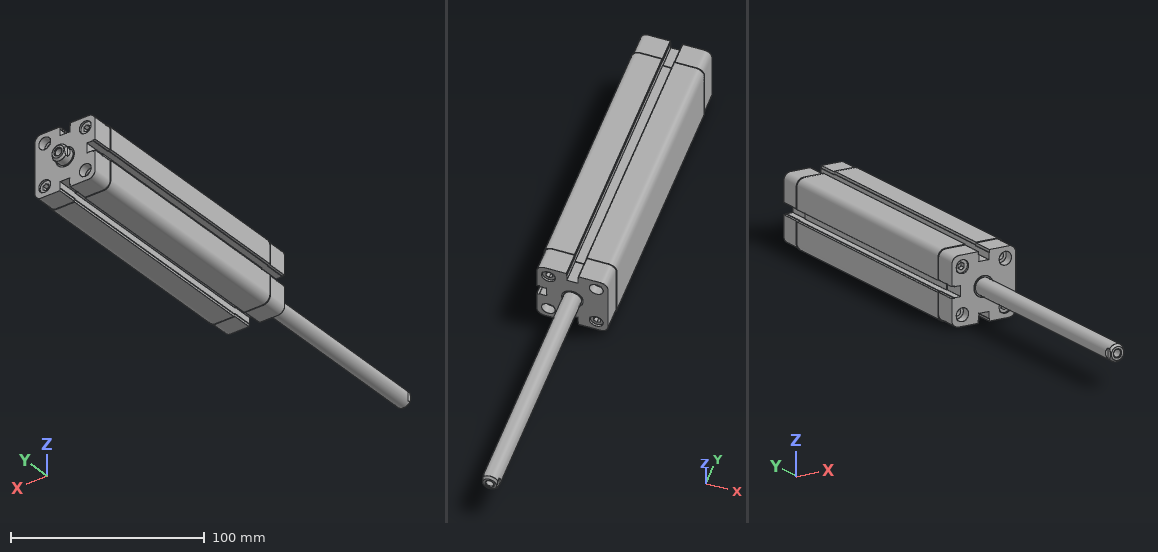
import cadquery as cq
import math

total_length = 300.5
rear_overhang = 6.0
cap_length = 13.0
housing_length = 164.0

body_width = 40.0
corner_radius = 4.8
cap_inset = 0.45
cap_width = body_width - 2 * cap_inset
cap_corner_radius = corner_radius - cap_inset

slot_width = 6.0
slot_mouth_width = 6.5
slot_mouth_depth = 1.5
slot_depth = 5.5

rod_diameter = 10.0
rod_end_chamfer = 1.2
flat_width = 8.0
flat_length = 3.0
rod_hole_diameter = 4.2
rod_countersink_diameter = 5.0
rod_hole_depth = 15.0
drill_point_angle = 118.0
rod_clearance_diameter = 11.7
rod_clearance_depth = 0.3

hole_pitch = 26.0
counterbore_diameter = 7.5
counterbore_depth = 5.0
mounting_hole_diameter = 4.2

screw_recess_diameter = 7.5
screw_recess_depth = 1.2
socket_width = 3.5
socket_depth = 3.0

rod_rear = total_length / 2
rod_front = -total_length / 2
housing_rear = rod_rear - rear_overhang
housing_front = housing_rear - housing_length


def plane_at(y):
    """Plane across the axis at y, with its normal along +Y and its local Y along +Z."""
    return cq.Plane(origin=(0, y, 0), xDir=(-1, 0, 0), normal=(0, 1, 0))


def cylinder(diameter, y_start, length, x=0, z=0):
    return cq.Workplane(plane_at(y_start)).center(-x, z).circle(diameter / 2).extrude(length)


def rounded_bar(width, radius, y_start, length):
    bar = cq.Workplane(plane_at(y_start)).rect(width, width).extrude(length)
    return bar.edges("|Y").fillet(radius)


def top_slot(bar_width, y_start, length):
    """Cutter for the stepped slot in the +Z side of a bar."""
    slot = cq.Workplane("XY")
    for width, depth in ((slot_width, slot_depth), (slot_mouth_width, slot_mouth_depth)):
        step = cq.Workplane("XY").box(width, length, depth)
        slot = slot.union(step.translate((0, y_start + length / 2, (bar_width - depth) / 2)))
    return slot


def slotted_bar(width, radius, y_start, length):
    """Rounded bar with sensor slots of equal depth in its -X, +Z and -Z sides."""
    bar = rounded_bar(width, radius, y_start, length)
    slot = top_slot(width, y_start, length)
    for angle in (0, 180, -90):
        bar = bar.cut(slot.rotate((0, 0, 0), (0, 1, 0), angle))
    return bar


def housing():
    """Barrel between two slightly smaller end caps."""
    barrel_length = housing_length - 2 * cap_length
    barrel_front = housing_front + cap_length
    barrel_rear = housing_rear - cap_length
    barrel = slotted_bar(body_width, corner_radius, barrel_front, barrel_length)
    for cap_front in (housing_front, barrel_rear):
        barrel = barrel.union(slotted_bar(cap_width, cap_corner_radius, cap_front, cap_length))
    return barrel


def mounting_hole(x, z):
    """Hole through the whole housing, counterbored at both ends."""
    hole = cylinder(mounting_hole_diameter, housing_front, housing_length, x, z)
    for y in (housing_front, housing_rear - counterbore_depth):
        hole = hole.union(cylinder(counterbore_diameter, y, counterbore_depth, x, z))
    return hole


def screw_recesses(x, z):
    """Recess above a screw head with a hexagon socket, at both housing ends."""
    corner_diameter = socket_width / math.cos(math.radians(30))
    depth = screw_recess_depth + socket_depth
    recesses = cq.Workplane("XY")
    for recess_y, socket_y in (
        (housing_front, housing_front),
        (housing_rear - screw_recess_depth, housing_rear - depth),
    ):
        recesses = recesses.union(cylinder(screw_recess_diameter, recess_y, screw_recess_depth, x, z))
        socket_plane = cq.Workplane(plane_at(socket_y)).center(-x, z).transformed(rotate=(0, 0, 90))
        recesses = recesses.union(socket_plane.polygon(6, corner_diameter).extrude(depth))
    return recesses


def rod_clearance(y_start):
    return cylinder(rod_clearance_diameter, y_start, rod_clearance_depth)


def rod_end_hole():
    """Blind countersunk hole with a drill point, entering at y = 0 towards +Y."""
    radius = rod_hole_diameter / 2
    mouth_radius = rod_countersink_diameter / 2
    point_depth = radius / math.tan(math.radians(drill_point_angle / 2))
    profile = [
        (0, 0),
        (mouth_radius, 0),
        (radius, mouth_radius - radius),
        (radius, rod_hole_depth),
        (0, rod_hole_depth + point_depth),
    ]
    return cq.Workplane("XY").polyline(profile).close().revolve(360, (0, 0, 0), (0, 1, 0))


def wrench_flat():
    """Cutter for the +X flat of a rod end at y = 0, running out at 45 degrees towards +Y."""
    inner = flat_width / 2
    outer = rod_diameter
    profile = [(inner, 0), (outer, 0), (outer, flat_length + outer - inner), (inner, flat_length)]
    cutter = cq.Workplane("XY").polyline(profile).close()
    return cutter.extrude(rod_diameter / 2, both=True)


def piston_rod():
    rod = cylinder(rod_diameter, rod_front, total_length)
    rod = rod.faces("<Y or >Y").chamfer(rod_end_chamfer)
    flat = wrench_flat()
    end_cuts = rod_end_hole().union(flat).union(flat.mirror("YZ"))
    rod = rod.cut(end_cuts.translate((0, rod_front, 0)))
    return rod.cut(end_cuts.mirror("XZ").translate((0, rod_rear, 0)))


result = housing()
for side in (-1, 1):
    offset = side * hole_pitch / 2
    result = result.cut(mounting_hole(offset, offset))
    result = result.cut(screw_recesses(offset, -offset))
result = result.cut(rod_clearance(housing_front))
result = result.cut(rod_clearance(housing_rear - rod_clearance_depth))
result = result.union(piston_rod())